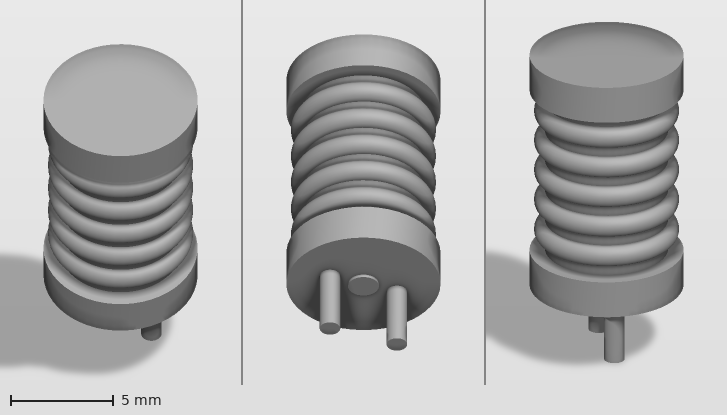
import cadquery as cq

flange_diameter = 7.5
flange_thickness = 1.875
post_diameter = 6.0
core_height = 12.35
post_gap = 0.05
rod_diameter = 1.5

turn_count = 5
turn_pitch = 1.594
wire_diameter = 1.06

rod_protrusion = 0.15
lead_diameter = 1.0
lead_spacing = 3.5
lead_length = 3.2

core_bottom = rod_protrusion
core_top = core_bottom + core_height
core_middle = (core_bottom + core_top) / 2


def cylinder(diameter, bottom, top, x=0.0):
    """Vertical cylinder between two heights, centred at (x, 0)."""
    return cq.Workplane("XY", origin=(x, 0, bottom)).circle(diameter / 2).extrude(top - bottom)


def make_core():
    lower_flange_top = core_bottom + flange_thickness
    upper_flange_bottom = core_top - flange_thickness
    rod = cylinder(rod_diameter, 0, core_top)
    lower_flange = cylinder(flange_diameter, core_bottom, lower_flange_top)
    post = cylinder(post_diameter, lower_flange_top + post_gap, upper_flange_bottom - post_gap)
    upper_flange = cylinder(flange_diameter, upper_flange_bottom, core_top)
    return rod.union(lower_flange).union(post).union(upper_flange)


def make_turn(height):
    """Ring of round wire whose centreline lies on the post surface; only its outer half stands proud."""
    post_radius = post_diameter / 2
    wire_radius = wire_diameter / 2
    profile = (
        cq.Workplane("XZ")
        .moveTo(post_radius, height - wire_radius)
        .threePointArc((post_radius + wire_radius, height), (post_radius, height + wire_radius))
        .lineTo(0, height + wire_radius)
        .lineTo(0, height - wire_radius)
        .close()
    )
    return profile.revolve(360, (0, 0, 0), (0, 1, 0))


def add_winding(body):
    first_turn = core_middle - turn_pitch * (turn_count - 1) / 2
    for index in range(turn_count):
        body = body.union(make_turn(first_turn + index * turn_pitch))
    return body


def add_leads(body):
    for side in (-1, 1):
        lead_x = side * lead_spacing / 2
        body = body.union(cylinder(lead_diameter, core_bottom - lead_length, core_bottom, lead_x))
    return body


result = add_leads(add_winding(make_core()))